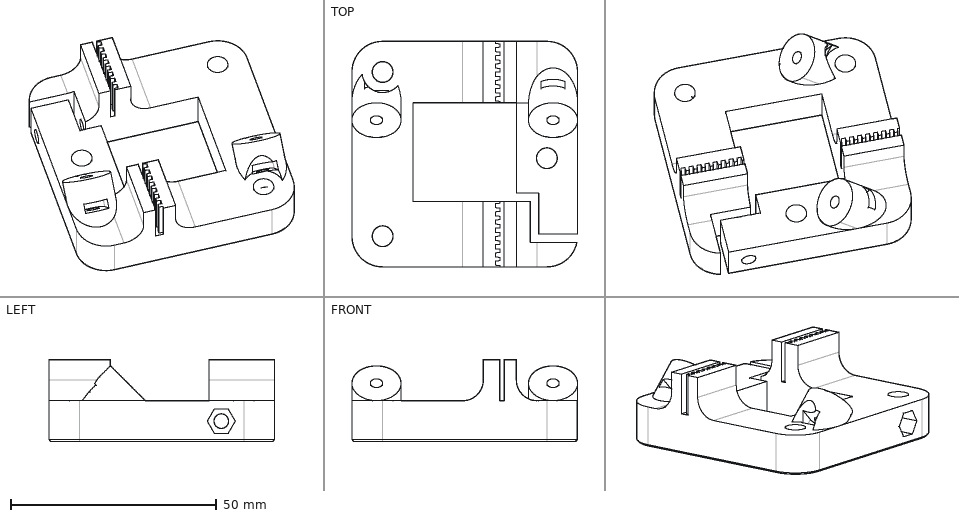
import cadquery as cq
import math

side = 55.0
half_side = side / 2
base_height = 10.0
corner_radius = 7.5
bottom_chamfer = 0.5

window_half_width = 12.6
window_back_y = 12.5
window_front_y = -11.5

mount_offset = 20.0
mount_diameter = 5.0
arm_hole_y = -1.0

gap = 2.0
gap_inner_x = 16.0
gap_front_y = -21.5

rib_top = 20.0
rib_fillet = 5.0
rib_right_x = window_half_width
rib_left_x = 4.5
outer_jaw_thickness = 3.0
belt_slot_right_x = rib_right_x - outer_jaw_thickness
belt_slot_width = 1.05
belt_slot_left_x = belt_slot_right_x - belt_slot_width

tooth_pitch = 2.0
groove_depth = 1.0
groove_mouth_width = 1.2
groove_root_width = 1.0
first_groove_y = -26.55

boss_diameter = 12.0
boss_radius = boss_diameter / 2
boss_x = half_side - boss_radius
boss_tilt = 45.0
boss_drop = boss_radius * math.sin(math.radians(boss_tilt))
boss_face_y = window_back_y - boss_drop
boss_face_z = base_height + boss_drop
boss_length = 16.0
boss_screw_diameter = 3.0
boss_screw_depth = 12.0
nut_slot_width = 5.9
nut_slot_thickness = 2.3
nut_slot_start = 5.8
washer_clearance_diameter = 10.0

tension_y = -14.5
tension_z = base_height / 2
tension_diameter = 3.5
tension_nut_flats = 5.9
tension_nut_depth = 6.0


def block(x_min, x_max, y_min, y_max, z_min, z_max):
    """Box given by its limits on each axis."""
    size = (x_max - x_min, y_max - y_min, z_max - z_min)
    return cq.Workplane("XY").box(*size, centered=False).translate((x_min, y_min, z_min))


def rounded_plate(height):
    """Square footprint with rounded corners."""
    return cq.Workplane("XY").rect(side, side).extrude(height).edges("|Z").fillet(corner_radius)


def belt_rib():
    """Clamp rib along Y with concave fillets down to the plate."""
    shoulder = base_height + rib_fillet
    reach = rib_fillet * (1 - math.sqrt(0.5))
    return (
        cq.Workplane("XZ", origin=(0, half_side, 0))
        .moveTo(rib_left_x - rib_fillet, base_height)
        .threePointArc((rib_left_x - reach, base_height + reach), (rib_left_x, shoulder))
        .lineTo(rib_left_x, rib_top)
        .lineTo(rib_right_x, rib_top)
        .lineTo(rib_right_x, shoulder)
        .threePointArc((rib_right_x + reach, base_height + reach), (rib_right_x + rib_fillet, base_height))
        .close()
        .extrude(side)
    )


def rib_opening():
    """Full-width break that splits the rib in two along the window."""
    return block(-half_side, half_side, window_front_y, window_back_y, base_height, rib_top)


def belt_slot():
    """Slot for the belt with one groove per belt tooth on its left wall."""
    slot = block(belt_slot_left_x, belt_slot_right_x, -half_side, half_side, base_height, rib_top)
    groove_count = math.ceil(side / tooth_pitch)
    root_x = belt_slot_left_x - groove_depth
    for index in range(groove_count):
        y = first_groove_y + index * tooth_pitch
        groove = (
            cq.Workplane("XY", origin=(0, y, base_height))
            .moveTo(belt_slot_right_x, -groove_mouth_width / 2)
            .lineTo(belt_slot_left_x, -groove_mouth_width / 2)
            .lineTo(root_x, -groove_root_width / 2)
            .lineTo(root_x, groove_root_width / 2)
            .lineTo(belt_slot_left_x, groove_mouth_width / 2)
            .lineTo(belt_slot_right_x, groove_mouth_width / 2)
            .close()
            .extrude(rib_top - base_height)
        )
        slot = slot.union(groove)
    return slot


def boss_plane(x):
    """Plane on the boss end face; its normal points down into the boss."""
    tilt = math.radians(boss_tilt)
    return cq.Plane(
        origin=(x, boss_face_y, boss_face_z),
        xDir=(1, 0, 0),
        normal=(0, math.cos(tilt), -math.sin(tilt)),
    )


def boss(x):
    """Tilted cylinder, kept only where it stands above the plate."""
    cylinder = cq.Workplane(boss_plane(x)).circle(boss_radius).extrude(boss_length)
    above_plate = block(-half_side, half_side, -half_side, half_side, base_height, rib_top)
    return cylinder.intersect(above_plate)


def boss_screw_cuts(x):
    """Screw hole down the boss axis and a nut slot open at the boss top."""
    hole = cq.Workplane(boss_plane(x)).circle(boss_screw_diameter / 2).extrude(boss_screw_depth)
    slot_plane = cq.Workplane(boss_plane(x)).workplane(offset=nut_slot_start)
    nut_seat = slot_plane.circle(nut_slot_width / 2).extrude(nut_slot_thickness)
    nut_entry = (
        slot_plane.center(0, -boss_diameter / 2)
        .rect(nut_slot_width, boss_diameter)
        .extrude(nut_slot_thickness)
    )
    return hole.union(nut_seat).union(nut_entry)


def mounting_holes():
    """Vertical holes at two plate corners and in the arm."""
    places = [(-mount_offset, mount_offset), (-mount_offset, -mount_offset), (mount_offset, arm_hole_y)]
    return cq.Workplane("XY").pushPoints(places).circle(mount_diameter / 2).extrude(base_height)


def arm_gap():
    """Gap stepping from the window out to the right side."""
    inner = block(window_half_width, gap_inner_x + gap, window_front_y, window_front_y + gap, 0, rib_top)
    middle = block(gap_inner_x, gap_inner_x + gap, gap_front_y, window_front_y + gap, 0, rib_top)
    outer = block(gap_inner_x, half_side, gap_front_y, gap_front_y + gap, 0, rib_top)
    return inner.union(middle).union(outer)


def tension_screw_cuts():
    """Screw hole along X with a hexagonal nut pocket in the left side."""
    start = cq.Workplane("YZ", origin=(-half_side, tension_y, tension_z))
    hole = start.circle(tension_diameter / 2).extrude(side)
    corner_diameter = tension_nut_flats / math.cos(math.pi / 6)
    return hole.union(start.polygon(6, corner_diameter).extrude(tension_nut_depth))


rib = belt_rib().cut(belt_slot()).cut(rib_opening())
window = block(-window_half_width, window_half_width, window_front_y, window_back_y, 0, rib_top)
plate = rounded_plate(base_height).cut(window).faces("<Z").edges().chamfer(bottom_chamfer)
washer_clearance = (
    cq.Workplane("XY", origin=(-mount_offset, mount_offset, base_height))
    .circle(washer_clearance_diameter / 2)
    .extrude(rib_top - base_height)
)

body = plate.union(rib).cut(arm_gap())
for x in (-boss_x, boss_x):
    body = body.union(boss(x)).cut(boss_screw_cuts(x))

result = body.cut(washer_clearance).cut(mounting_holes()).cut(tension_screw_cuts())